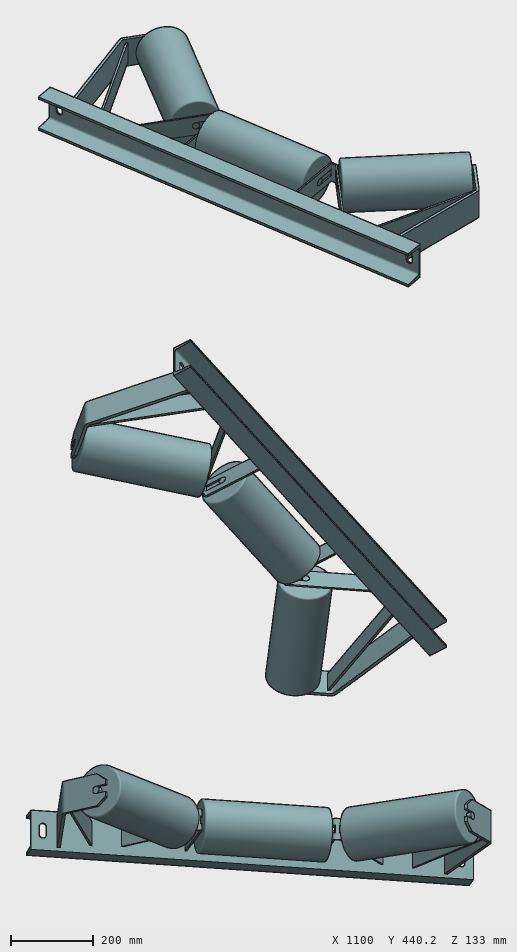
import cadquery as cq
import math


BEAM_LENGTH = 1100.0
BEAM_HEIGHT = 100.0
BEAM_DEPTH = 50.0
WEB_THICKNESS = 4.0
FLANGE_ROOT_THICKNESS = 10.0
FLANGE_TIP_THICKNESS = 7.0
FLANGE_ROOT_RADIUS = 5.0
BOLT_SLOT_WIDTH = 18.0
BOLT_SLOT_LENGTH = 37.0
BOLT_SLOT_END_DISTANCE = 30.0

ROLLER_DIAMETER = 133.0
ROLLER_LENGTH = 317.0
ROLLER_RIM_RADIUS = 4.0
SHAFT_DIAMETER = 19.0
ROLLER_GAP = 4.0
CENTRE_AXIS_Y = 119.0
WING_CENTRE_X = -338.0
WING_CENTRE_Y = 239.0
WING_TILT = 40.0

INNER_WIDTH = 54.0
INNER_THICKNESS = 4.0
INNER_TOP_Y = 172.0
INNER_BEND_RADIUS = 7.0
OUTER_WIDTH = 81.0
OUTER_THICKNESS = 8.0
OUTER_BEND_RADIUS = 16.0
OUTER_BEND_Y = 271.0
OUTER_FOOT_X = -485.0
OUTER_TIP_OVERHANG = 29.0
TIP_CHAMFER_LENGTH = 26.0
TIP_CHAMFER_HEIGHT = 19.0

BRACE_WIDTH = 60.0
BRACE_THICKNESS = 5.0
BRACE_FOOT_X = -404.0
BRACE_TOP_X = -521.0
BRACE_TOP_Y = 275.0

SEAT = ROLLER_LENGTH / 2 + ROLLER_GAP
INNER_REACH = SEAT + INNER_THICKNESS
OUTER_REACH = SEAT + OUTER_THICKNESS

FOOT_OVERRUN = 22.0
CUT_SIZE = 2 * BEAM_LENGTH


def place_on_wing(body):
    """Move a body from the roller's own axes (axis along X) to the left wing position."""
    turned = body.rotate((0, 0, 0), (0, 0, 1), -WING_TILT)
    return turned.translate((WING_CENTRE_X, WING_CENTRE_Y, 0))


def wing_point(along, across):
    """X, Y of a point given along and across the left wing roller's axis."""
    tilt = math.radians(WING_TILT)
    x = WING_CENTRE_X + along * math.cos(tilt) + across * math.sin(tilt)
    y = WING_CENTRE_Y - along * math.sin(tilt) + across * math.cos(tilt)
    return (x, y)


def wing_point_at_height(along, y):
    """Point at height Y on the line that crosses the left wing axis at right angles."""
    across = (y - wing_point(along, 0)[1]) / math.cos(math.radians(WING_TILT))
    return wing_point(along, across)


def point_beyond(start, end, overrun):
    """Point past the end of a line by the given overrun."""
    length = math.dist(start, end)
    return tuple(e + (e - s) / length * overrun for s, e in zip(start, end))


def bent_strip(face, thickness, width, bend_radius=0.0):
    """Sheet strip to the right of the path `face`, with the path's corners as rounded bends."""
    angles = [math.atan2(y2 - y1, x2 - x1) for (x1, y1), (x2, y2) in zip(face, face[1:])]
    before = angles[:1] + angles
    after = angles + angles[-1:]
    back = []
    for (x, y), first, second in zip(face, before, after):
        middle = (first + second) / 2
        mitre = thickness / math.cos((second - first) / 2)
        back.append((x + mitre * math.sin(middle), y - mitre * math.cos(middle)))
    base = cq.Workplane("XY").workplane(offset=-width / 2)
    strip = base.polyline(face + back[::-1]).close().extrude(width)
    for outer, inner in zip(face[1:-1], back[1:-1]):
        for corner, radius in ((outer, bend_radius), (inner, bend_radius - thickness)):
            edge = cq.selectors.NearestToPointSelector((*corner, 0))
            strip = strip.edges(edge).fillet(radius)
    return strip


def trim_at_beam(body):
    """Cut off everything below the beam's mounting face."""
    below = cq.Workplane("XY").box(CUT_SIZE, CUT_SIZE, CUT_SIZE).translate((0, -CUT_SIZE / 2, 0))
    return body.cut(below)


def make_beam():
    """Channel with tapered flanges pointing to -Y and an upright bolt slot near each end."""
    half_height = BEAM_HEIGHT / 2
    root_z = half_height - FLANGE_ROOT_THICKNESS
    tip_z = half_height - FLANGE_TIP_THICKNESS
    beam = (
        cq.Workplane("YZ")
        .workplane(offset=-BEAM_LENGTH / 2)
        .polyline([
            (0, -half_height),
            (-BEAM_DEPTH, -half_height),
            (-BEAM_DEPTH, -tip_z),
            (-WEB_THICKNESS, -root_z),
            (-WEB_THICKNESS, root_z),
            (-BEAM_DEPTH, tip_z),
            (-BEAM_DEPTH, half_height),
            (0, half_height),
        ])
        .close()
        .extrude(BEAM_LENGTH)
    )
    for z in (-root_z, root_z):
        root = cq.selectors.NearestToPointSelector((0, -WEB_THICKNESS, z))
        beam = beam.edges(root).fillet(FLANGE_ROOT_RADIUS)
    slot_x = BEAM_LENGTH / 2 - BOLT_SLOT_END_DISTANCE
    slots = (
        cq.Workplane("XZ")
        .pushPoints([(-slot_x, 0), (slot_x, 0)])
        .slot2D(BOLT_SLOT_LENGTH, BOLT_SLOT_WIDTH, 90)
        .extrude(WEB_THICKNESS)
    )
    return beam.cut(slots)


def rod(start, length, diameter):
    """Round bar along X that begins at X = start."""
    return cq.Workplane("YZ").workplane(offset=start).circle(diameter / 2).extrude(length)


def make_roller(left_reach, right_reach):
    """Roller with its shaft, centred on the origin with its axis along X."""
    shell = rod(-ROLLER_LENGTH / 2, ROLLER_LENGTH, ROLLER_DIAMETER)
    shell = shell.faces("<X or >X").edges().fillet(ROLLER_RIM_RADIUS)
    return shell.union(rod(-left_reach, left_reach + right_reach, SHAFT_DIAMETER))


def make_shaft_slot(start, thickness, depth):
    """Cutter for a shaft slot, closed around the shaft and open towards +Y."""
    seat = rod(start, thickness, SHAFT_DIAMETER)
    mouth = cq.Workplane("XY").box(thickness, depth, SHAFT_DIAMETER, centered=(False, False, True))
    return seat.union(mouth.translate((start, 0, 0)))


def make_inner_bracket():
    """Left inner bracket: an upright for the centre roller and a slope for the wing roller."""
    foot = wing_point_at_height(SEAT, -FOOT_OVERRUN)
    slope_top = wing_point_at_height(SEAT, INNER_TOP_Y)
    face = [foot, slope_top, (-SEAT, INNER_TOP_Y), (-SEAT, -FOOT_OVERRUN)]
    bracket = trim_at_beam(bent_strip(face, INNER_THICKNESS, INNER_WIDTH, INNER_BEND_RADIUS))
    upright_slot = make_shaft_slot(-INNER_REACH, INNER_THICKNESS, INNER_TOP_Y - CENTRE_AXIS_Y)
    slope_depth = (INNER_TOP_Y - wing_point(SEAT, 0)[1]) / math.cos(math.radians(WING_TILT))
    slope_slot = make_shaft_slot(SEAT, INNER_THICKNESS, slope_depth)
    return bracket.cut(upright_slot.translate((0, CENTRE_AXIS_Y, 0))).cut(place_on_wing(slope_slot))


def make_outer_bracket():
    """Left outer bracket: a leaning leg bent over to hold the wing roller's outer end."""
    tip = wing_point(-OUTER_REACH, OUTER_TIP_OVERHANG)
    bend = wing_point_at_height(-OUTER_REACH, OUTER_BEND_Y)
    foot = point_beyond(bend, (OUTER_FOOT_X, 0), FOOT_OVERRUN)
    bracket = trim_at_beam(bent_strip([foot, bend, tip], OUTER_THICKNESS, OUTER_WIDTH, OUTER_BEND_RADIUS))
    half_width = OUTER_WIDTH / 2
    corner = (
        cq.Workplane("YZ")
        .workplane(offset=-OUTER_REACH)
        .polyline([
            (OUTER_TIP_OVERHANG, half_width),
            (OUTER_TIP_OVERHANG - TIP_CHAMFER_LENGTH, half_width),
            (OUTER_TIP_OVERHANG, half_width - TIP_CHAMFER_HEIGHT),
        ])
        .close()
        .extrude(OUTER_THICKNESS)
    )
    slot = make_shaft_slot(-OUTER_REACH, OUTER_THICKNESS, OUTER_TIP_OVERHANG)
    for cutter in (corner, corner.mirror("XY"), slot):
        bracket = bracket.cut(place_on_wing(cutter))
    return bracket


def make_brace(outer_bracket):
    """Left brace: a flat strip from the beam to the inside of the outer bracket's bend."""
    top = (BRACE_TOP_X, BRACE_TOP_Y)
    foot = point_beyond(top, (BRACE_FOOT_X, 0), FOOT_OVERRUN)
    brace = bent_strip([foot, top], BRACE_THICKNESS, BRACE_WIDTH)
    return trim_at_beam(brace).cut(outer_bracket)


beam = make_beam()
centre_roller = make_roller(INNER_REACH, INNER_REACH).translate((0, CENTRE_AXIS_Y, 0))
wing_roller = place_on_wing(make_roller(OUTER_REACH, INNER_REACH))
inner_bracket = make_inner_bracket()
outer_bracket = make_outer_bracket()
brace = make_brace(outer_bracket)

bodies = [*beam.solids().vals(), *centre_roller.solids().vals()]
for left_body in (wing_roller, inner_bracket, outer_bracket, brace):
    bodies += left_body.solids().vals()
    bodies += left_body.mirror("YZ").solids().vals()

result = cq.Compound.makeCompound(bodies)